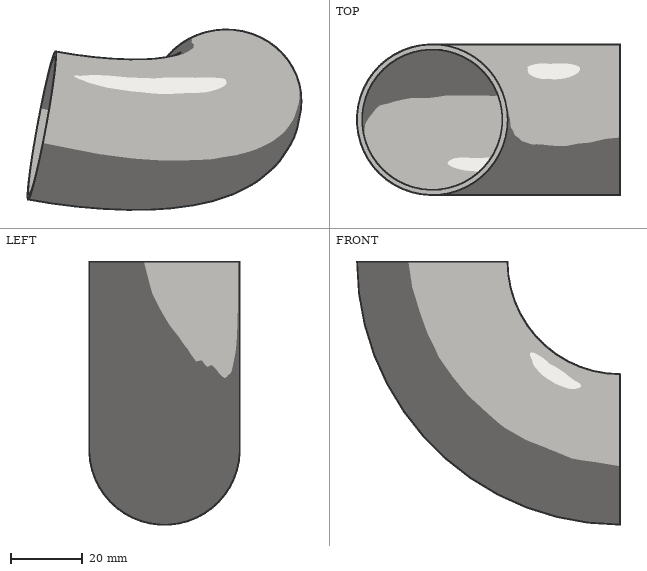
import cadquery as cq

outer_bend_radius = 74.0
pipe_diameter = 42.4
wall_thickness = 1.5
bend_angle = 90.0

pipe_radius = pipe_diameter / 2
bore_radius = pipe_radius - wall_thickness
centerline_radius = outer_bend_radius - pipe_radius

bend_axis_start = (centerline_radius, 0)
bend_axis_end = (centerline_radius, -1)

result = (
    cq.Workplane("XY")
    .circle(pipe_radius)
    .circle(bore_radius)
    .revolve(bend_angle, bend_axis_start, bend_axis_end)
)